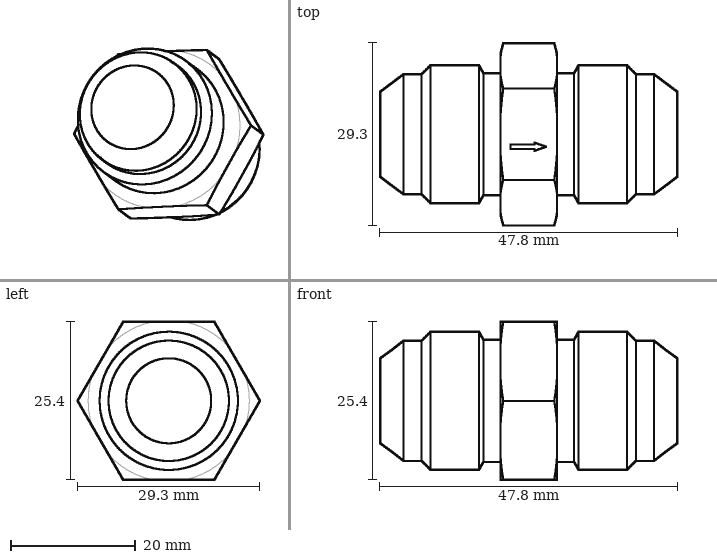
import cadquery as cq
import math


total_length = 47.75
hex_across_flats = 25.4
hex_width = 9.12

nose_diameter = 19.36
thread_diameter = 22.23
neck_diameter = 19.68

flare_length = 3.77
thread_start = 6.68
neck_start = 16.6

flare_angle = 37
thread_lead_angle = 45
thread_back_angle = 60

hex_face_diameter = 25.9
hex_chamfer_angle = 15

arrow_tail_x = -2.97
arrow_head_x = 0.93
arrow_tip_x = 2.8
arrow_y = -2.0
arrow_shaft_width = 0.72
arrow_head_width = 1.3
arrow_depth = 0.1

half_length = total_length / 2
half_hex = hex_width / 2
nose_radius = nose_diameter / 2
thread_radius = thread_diameter / 2
neck_radius = neck_diameter / 2
hex_face_radius = hex_face_diameter / 2
hex_across_corners = hex_across_flats / math.cos(math.radians(30))


def slope(angle):
    """Radial rise per unit of length for an angle in degrees."""
    return math.tan(math.radians(angle))


def revolve_about_x(profile):
    """Turn a closed profile (x, radius) once around the X axis."""
    return cq.Workplane("XY").polyline(profile).close().revolve(360, (0, 0, 0), (1, 0, 0))


def make_end():
    """Turned end on the -X side: flare cone, nose, thread blank and neck."""
    end_face = -half_length
    end_radius = nose_radius - flare_length * slope(flare_angle)
    lead_length = (thread_radius - nose_radius) / slope(thread_lead_angle)
    back_length = (thread_radius - neck_radius) / slope(thread_back_angle)
    return revolve_about_x([
        (end_face, 0),
        (end_face, end_radius),
        (end_face + flare_length, nose_radius),
        (end_face + thread_start, nose_radius),
        (end_face + thread_start + lead_length, thread_radius),
        (end_face + neck_start - back_length, thread_radius),
        (end_face + neck_start, neck_radius),
        (0, neck_radius),
        (0, 0),
    ])


def make_hexagon():
    """Wrench hexagon with flats at top and bottom and both faces chamfered."""
    prism = cq.Workplane("YZ").polygon(6, hex_across_corners).extrude(half_hex, both=True)
    outer_radius = hex_across_corners
    chamfer_length = (outer_radius - hex_face_radius) * slope(hex_chamfer_angle)
    chamfer_envelope = revolve_about_x([
        (-half_hex, 0),
        (-half_hex, hex_face_radius),
        (chamfer_length - half_hex, outer_radius),
        (half_hex - chamfer_length, outer_radius),
        (half_hex, hex_face_radius),
        (half_hex, 0),
    ])
    return prism.intersect(chamfer_envelope)


def make_arrow():
    """Cutter for the flow arrow, sunk below the top flat."""
    half_shaft = arrow_shaft_width / 2
    half_head = arrow_head_width / 2
    return (
        cq.Workplane("XY", origin=(0, arrow_y, hex_across_flats / 2))
        .polyline([
            (arrow_tail_x, -half_shaft),
            (arrow_head_x, -half_shaft),
            (arrow_head_x, -half_head),
            (arrow_tip_x, 0),
            (arrow_head_x, half_head),
            (arrow_head_x, half_shaft),
            (arrow_tail_x, half_shaft),
        ])
        .close()
        .extrude(-arrow_depth)
    )


left_end = make_end()
right_end = left_end.mirror("YZ")
result = make_hexagon().union(left_end).union(right_end).cut(make_arrow())